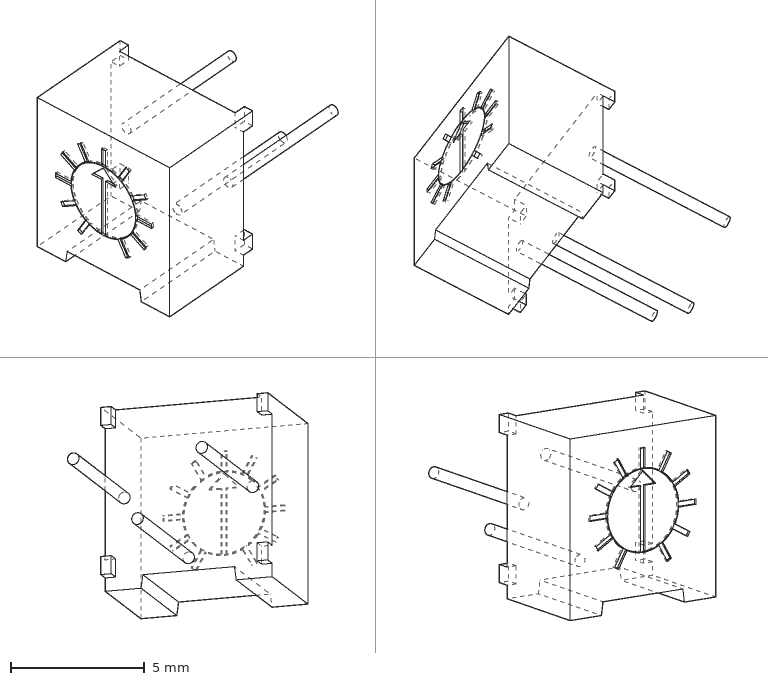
import cadquery as cq

width = 6.6
height = 7.0
total_length = 10.16
body_depth = 4.19

notch_height = 0.52
notch_top_width = 3.62
notch_mouth_width = 3.76

foot_width = 0.42
foot_height = 0.7
foot_length = 0.52

pin_diameter = 0.46
pin_pitch = 2.54
low_pin_z = 1.02
high_pin_z = low_pin_z + pin_pitch

dial_z = 3.8
gap_diameter = 3.25
dial_diameter = 3.2
mark_depth = 0.1

mark_width = 0.2
mark_outer_radius = 2.4
mark_step = 30
bottom_angle = 270

arrow_tip = 1.53
arrow_base = 0.95
arrow_half_width = 0.58


def front_plane():
    """Workplane on the dial centre in the front face; negative depths go into the body."""
    return cq.Workplane("XZ", origin=(0, 0, dial_z))


def make_body():
    body = cq.Workplane("XY").box(width, body_depth, height, centered=(True, False, False))
    notch = (
        cq.Workplane("XZ")
        .polyline([
            (-notch_mouth_width / 2, 0),
            (-notch_top_width / 2, notch_height),
            (notch_top_width / 2, notch_height),
            (notch_mouth_width / 2, 0),
        ])
        .close()
        .extrude(-body_depth)
    )
    return body.cut(notch)


def make_feet():
    """Four feet: two flush with the top, two level with the top of the notch."""
    foot_x = (width - foot_width) / 2
    feet = cq.Workplane("XY")
    for x in (-foot_x, foot_x):
        for bottom_z in (notch_height, height - foot_height):
            foot = cq.Workplane("XY").box(
                foot_width, foot_length, foot_height, centered=(True, False, False)
            )
            feet = feet.add(foot.translate((x, body_depth, bottom_z)))
    return feet.combine()


def make_pins():
    """Two outer pins in one row and a middle pin in the other."""
    pin_points = [(-pin_pitch, high_pin_z), (0, low_pin_z), (pin_pitch, high_pin_z)]
    return (
        cq.Workplane("XZ", origin=(0, body_depth, 0))
        .pushPoints(pin_points)
        .circle(pin_diameter / 2)
        .extrude(-(total_length - body_depth))
    )


def make_dial_gap():
    return front_plane().circle(gap_diameter / 2).circle(dial_diameter / 2).extrude(-mark_depth)


def make_scale_marks():
    inner_radius = dial_diameter / 2
    mark_length = mark_outer_radius - inner_radius
    marks = cq.Workplane("XY")
    for angle in range(0, 360, mark_step):
        if angle == bottom_angle:
            continue
        mark = (
            front_plane()
            .transformed(rotate=(0, 0, angle))
            .center(inner_radius + mark_length / 2, 0)
            .rect(mark_length, mark_width)
            .extrude(-mark_depth)
        )
        marks = marks.add(mark)
    return marks.combine()


def make_arrow():
    """Arrow pointing up, its shaft running down to the edge of the dial."""
    half_shaft = mark_width / 2
    arrow = (
        front_plane()
        .polyline([
            (0, arrow_tip),
            (arrow_half_width, arrow_base),
            (half_shaft, arrow_base),
            (half_shaft, -gap_diameter / 2),
            (-half_shaft, -gap_diameter / 2),
            (-half_shaft, arrow_base),
            (-arrow_half_width, arrow_base),
        ])
        .close()
        .extrude(-mark_depth)
    )
    dial = front_plane().circle(dial_diameter / 2).extrude(-mark_depth)
    return arrow.intersect(dial)


result = (
    make_body()
    .union(make_feet())
    .union(make_pins())
    .cut(make_dial_gap())
    .cut(make_scale_marks())
    .cut(make_arrow())
)